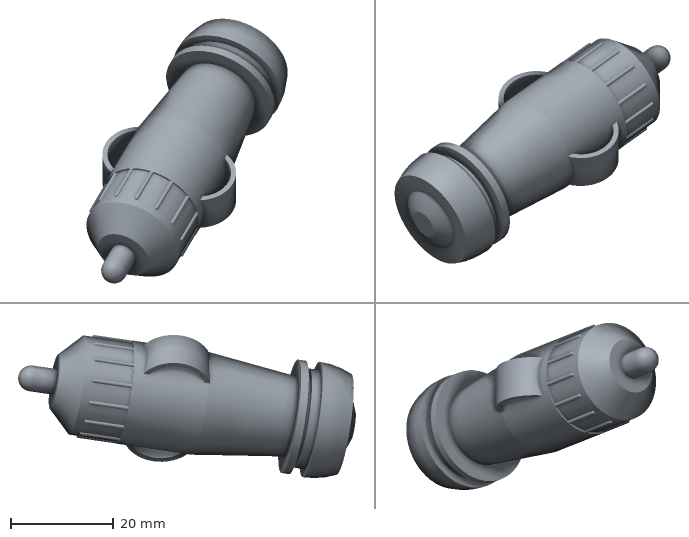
import cadquery as cq

length = 66.7

pin_radius = 2.55

nose_radius = 9.8
nose_front_radius = 5.4
nose_front_y = 7.15
nose_cone_back_y = 11.55
nose_back_y = 21.0
rib_count = 14
rib_radius = 0.4
rib_front_y = 13.15

barrel_radius = 10.2
barrel_back_y = 36.0
grip_end_radius = 7.95

flange_radius = 11.2
flange_front_y = 54.1
flange_back_y = 55.6
groove_radius = 8.4
collar_radius = nose_radius
collar_front_y = 56.55

cap_radius = 11.4
cap_front_y = 58.35
cap_back_radius = 10.0
cap_back_y = 64.8
cap_depth = cap_back_y - cap_front_y
cap_inset = cap_radius - cap_back_radius
cap_arc_radius = (cap_depth**2 + cap_inset**2) / (2 * cap_inset)
dome_radius = 6.4
dome_flat_radius = 2.9
dome_arc_radius = 10.15

clip_span = 27.15
clip_outer_radius = 7.4
clip_thickness = 1.0
clip_width = 7.9
clip_y = 29.7


def revolve_about_y(profile):
    """Close an XY profile and turn it once around the plug's axis."""
    return profile.close().revolve(360, (0, 0, 0), (0, 1, 0))


def make_housing():
    """Barrel, tapered grip, flange, collar, cap and dome in one turned body."""
    profile = (
        cq.Workplane("XY")
        .moveTo(0, nose_back_y)
        .lineTo(barrel_radius, nose_back_y)
        .lineTo(barrel_radius, barrel_back_y)
        .lineTo(grip_end_radius, flange_front_y)
        .lineTo(flange_radius, flange_front_y)
        .lineTo(flange_radius, flange_back_y)
        .lineTo(groove_radius, flange_back_y)
        .lineTo(groove_radius, collar_front_y)
        .lineTo(collar_radius, collar_front_y)
        .lineTo(collar_radius, cap_front_y)
        .lineTo(cap_radius, cap_front_y)
        .radiusArc((cap_back_radius, cap_back_y), -cap_arc_radius)
        .lineTo(dome_radius, cap_back_y)
        .radiusArc((dome_flat_radius, length), -dome_arc_radius)
        .lineTo(0, length)
    )
    return revolve_about_y(profile)


def make_rib(angle):
    """Round bar half sunk in the nose, with a ball-shaped front end, turned by angle about Y."""
    ball_y = rib_front_y + rib_radius
    bar = (
        cq.Workplane("XZ", origin=(0, nose_back_y, nose_radius))
        .circle(rib_radius)
        .extrude(nose_back_y - ball_y)
    )
    ball = cq.Workplane("XY", origin=(0, ball_y, nose_radius)).sphere(rib_radius)
    return bar.union(ball).rotate((0, 0, 0), (0, 1, 0), angle)


def make_nose():
    """Cylinder with a conical front and evenly spaced ribs."""
    profile = (
        cq.Workplane("XY")
        .moveTo(0, nose_front_y)
        .lineTo(nose_front_radius, nose_front_y)
        .lineTo(nose_radius, nose_cone_back_y)
        .lineTo(nose_radius, nose_back_y)
        .lineTo(0, nose_back_y)
    )
    nose = revolve_about_y(profile)
    for index in range(rib_count):
        nose = nose.union(make_rib(index * 360 / rib_count))
    return nose


def make_pin():
    """Round pin with a hemispherical tip, standing on the nose's front face."""
    profile = (
        cq.Workplane("XY")
        .moveTo(0, nose_front_y)
        .lineTo(pin_radius, nose_front_y)
        .lineTo(pin_radius, pin_radius)
        .radiusArc((0, 0), pin_radius)
    )
    return revolve_about_y(profile)


def make_clip(angle, housing):
    """Part of a flat ring that stands outside the housing on +X, then turned by angle about Y."""
    ring_x = clip_span / 2 - clip_outer_radius
    ring = (
        cq.Workplane("XY", origin=(ring_x, clip_y, -clip_width / 2))
        .circle(clip_outer_radius)
        .circle(clip_outer_radius - clip_thickness)
        .extrude(clip_width)
    )
    return ring.cut(housing).rotate((0, 0, 0), (0, 1, 0), angle)


housing = make_housing()
nose = make_nose()
pin = make_pin()
clips = [make_clip(angle, housing) for angle in (0, 180)]

result = cq.Compound.makeCompound(
    [housing.val(), nose.val(), pin.val(), *[clip.solids().val() for clip in clips]]
)